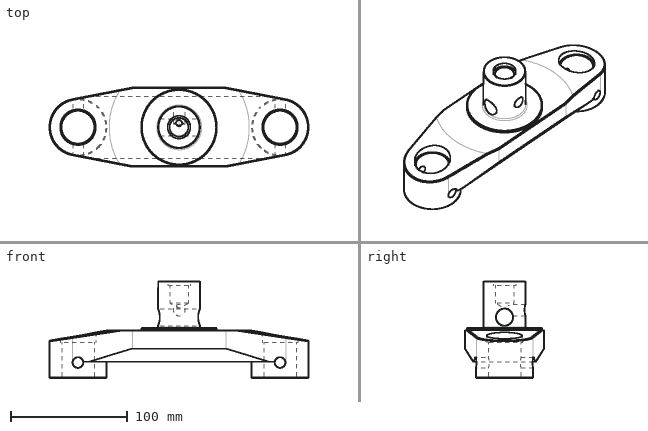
import cadquery as cq
import math

total_height = 83.0

bar_half_width = 34.0
bar_flat_half_length = 40.0
bar_underside_z = 13.9
bar_top_z = 41.2
flank_lower_z = 25.4
underside_half_width = 26.7
flat_top_radius = 60.0
top_slope_deg = 10.0
top_edge_chamfer = 0.8

boss_offset = 86.5
boss_radius = 24.5
boss_edge_chamfer = 0.8
bore_diameter = 28.0
counterbore_diameter = 30.6
counterbore_floor_z = 30.6
pin_hole_diameter = 9.0
pin_hole_z = 13.4

disc_radius = 32.5
disc_top_z = 43.0
disc_edge_chamfer = 0.8
post_radius = 18.0
post_edge_chamfer = 0.5
post_root_fillet = 1.2

post_bore_diameter = 16.0
post_bore_depth = 18.5
post_counterbore_diameter = 19.5
post_counterbore_depth = 3.3
drill_point_angle_deg = 118.0
cross_hole_diameter = 14.5
cross_hole_z = 52.2
side_hole_diameter = 10.0
side_hole_z = 58.4

SIDES = (-1, 1)
bar_half_length = boss_offset + boss_radius
outer_reach = 2 * bar_half_length


def flank_touch_point():
    """Point (+X, +Y) where the tapering flank runs tangentially onto the round end."""
    run = boss_offset - bar_flat_half_length
    corner_distance = math.hypot(run, bar_half_width)
    touch_angle = math.atan2(bar_half_width, -run) - math.acos(boss_radius / corner_distance)
    x = boss_offset + boss_radius * math.cos(touch_angle)
    y = boss_radius * math.sin(touch_angle)
    return x, y


def tapered_outline():
    """Plan of the crossbar: a wide middle tapering tangentially onto a round end at each side."""
    touch_x, touch_y = flank_touch_point()
    return (
        cq.Workplane("XY")
        .moveTo(-bar_flat_half_length, bar_half_width)
        .lineTo(bar_flat_half_length, bar_half_width)
        .lineTo(touch_x, touch_y)
        .threePointArc((bar_half_length, 0), (touch_x, -touch_y))
        .lineTo(bar_flat_half_length, -bar_half_width)
        .lineTo(-bar_flat_half_length, -bar_half_width)
        .lineTo(-touch_x, -touch_y)
        .threePointArc((-bar_half_length, 0), (-touch_x, touch_y))
        .close()
    )


def domed_envelope():
    """Solid of revolution with a flat top and a conical shoulder, bounding the bar from above."""
    drop = (outer_reach - flat_top_radius) * math.tan(math.radians(top_slope_deg))
    return (
        cq.Workplane("XZ")
        .lineTo(outer_reach, 0)
        .lineTo(outer_reach, bar_top_z - drop)
        .lineTo(flat_top_radius, bar_top_z)
        .lineTo(0, bar_top_z)
        .close()
        .revolve(360, (0, 0, 0), (0, 1, 0))
    )


def between_bosses():
    """Block filling the plan between the two bosses and reaching out past the flanks."""
    touch_x, touch_y = flank_touch_point()
    boss_inner_x = boss_offset - boss_radius
    outer_y = 2 * bar_half_width
    outer_x = boss_offset + (touch_x - boss_offset) * outer_y / touch_y
    return (
        cq.Workplane("XY")
        .moveTo(-outer_x, outer_y)
        .lineTo(outer_x, outer_y)
        .lineTo(touch_x, touch_y)
        .threePointArc((boss_inner_x, 0), (touch_x, -touch_y))
        .lineTo(outer_x, -outer_y)
        .lineTo(-outer_x, -outer_y)
        .lineTo(-touch_x, -touch_y)
        .threePointArc((-boss_inner_x, 0), (-touch_x, touch_y))
        .close()
        .extrude(total_height)
    )


def underside_clearance():
    """Space below the bar: flat in the middle and bevelled up to the flanks, clear of the bosses."""
    bevel_slope = (flank_lower_z - bar_underside_z) / (bar_half_width - underside_half_width)
    outer_y = 2 * bar_half_width
    outer_z = bar_underside_z + bevel_slope * (outer_y - underside_half_width)
    below_bar = (
        cq.Workplane("YZ")
        .moveTo(-outer_y, -outer_y)
        .lineTo(outer_y, -outer_y)
        .lineTo(outer_y, outer_z)
        .lineTo(underside_half_width, bar_underside_z)
        .lineTo(-underside_half_width, bar_underside_z)
        .lineTo(-outer_y, outer_z)
        .close()
        .extrude(outer_reach, both=True)
    )
    return below_bar.intersect(between_bosses())


def crossbar():
    """Tapered bar with bosses under its ends, chamfered along the top edge and the boss feet."""
    block = tapered_outline().extrude(total_height).intersect(domed_envelope())
    bar = block.cut(underside_clearance())
    bar = bar.faces("<Z").edges().chamfer(boss_edge_chamfer)
    above_flanks = cq.selectors.BoxSelector(
        (-outer_reach, -outer_reach, flank_lower_z + top_edge_chamfer),
        (outer_reach, outer_reach, total_height),
    )
    rim = bar.edges(above_flanks).edges("not (|Z or %CIRCLE)")
    return rim.chamfer(top_edge_chamfer)


def disc():
    """Raised round pad in the middle of the bar."""
    return (
        cq.Workplane("XY", origin=(0, 0, bar_top_z))
        .circle(disc_radius)
        .extrude(disc_top_z - bar_top_z)
        .faces(">Z")
        .chamfer(disc_edge_chamfer)
    )


def post():
    """Upright round post with a chamfered top edge."""
    return (
        cq.Workplane("XY", origin=(0, 0, disc_top_z))
        .circle(post_radius)
        .extrude(total_height - disc_top_z)
        .faces(">Z")
        .chamfer(post_edge_chamfer)
    )


def drill_point_length(diameter):
    """Length of the conical point of a drill of the given diameter."""
    return diameter / 2 / math.tan(math.radians(drill_point_angle_deg / 2))


def drill(diameter, depth):
    """Drill-shaped tool going down from the origin: a cylinder of the given depth, then a point."""
    radius = diameter / 2
    return (
        cq.Workplane("XZ")
        .lineTo(radius, 0)
        .lineTo(radius, -depth)
        .lineTo(0, -depth - drill_point_length(diameter))
        .close()
        .revolve(360, (0, 0, 0), (0, 1, 0))
    )


def cylinder_along_y(diameter, x, z):
    """Cylinder running right through the part along Y."""
    return (
        cq.Workplane("XZ", origin=(x, 0, z))
        .circle(diameter / 2)
        .extrude(bar_half_length, both=True)
    )


def boss_holes(side):
    """Vertical counterbored hole and horizontal pin hole at one end of the bar."""
    x = side * boss_offset
    bore = cq.Workplane("XY").center(x, 0).circle(bore_diameter / 2).extrude(total_height)
    counterbore = (
        cq.Workplane("XY", origin=(x, 0, counterbore_floor_z))
        .circle(counterbore_diameter / 2)
        .extrude(total_height - counterbore_floor_z)
    )
    return bore.union(counterbore).union(cylinder_along_y(pin_hole_diameter, x, pin_hole_z))


def post_holes():
    """Stepped blind bore from the top, a hole through along X and a drilled hole in the +Y side."""
    bore = drill(post_bore_diameter, post_bore_depth).translate((0, 0, total_height))
    counterbore = (
        cq.Workplane("XY", origin=(0, 0, total_height - post_counterbore_depth))
        .circle(post_counterbore_diameter / 2)
        .extrude(post_counterbore_depth)
    )
    cross_hole = (
        cq.Workplane("YZ", origin=(0, 0, cross_hole_z))
        .circle(cross_hole_diameter / 2)
        .extrude(post_radius, both=True)
    )
    side_hole = (
        drill(side_hole_diameter, post_radius - drill_point_length(side_hole_diameter))
        .rotate((0, 0, 0), (1, 0, 0), -90)
        .translate((0, post_radius, side_hole_z))
    )
    return bore.union(counterbore).union(cross_hole).union(side_hole)


def root_edge(z, radius):
    """Selector for the circular edge of the given radius at height z around the Z axis."""
    margin = 0.1
    reach = radius + margin
    return cq.selectors.BoxSelector(
        (-reach, -reach, z - margin), (reach, reach, z + margin), boundingbox=True
    )


body = crossbar()
body = body.union(disc()).union(post())
body = body.edges(root_edge(disc_top_z, post_radius)).fillet(post_root_fillet)
for side in SIDES:
    body = body.cut(boss_holes(side))
result = body.cut(post_holes())